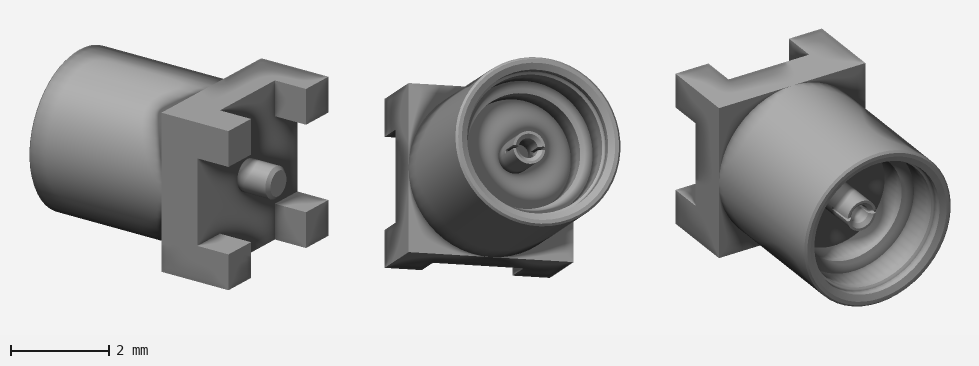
import cadquery as cq

length = 5.0
block_size = 3.51
block_start = 3.325
barrel_radius = block_size / 2
axis_plane = "YZ"

rim_chamfer = 0.045
rim_inner_radius = 1.63
entry_radius = 1.5
entry_cone_end = 0.065
entry_end = 0.235
socket_radius = 1.44
socket_cone_start = 0.285
socket_end = 0.955
seat_radius = 1.2
seat_start = 1.04
seat_end = 1.695

leg_length = 0.775
leg_width = 0.79
floor_x = length - leg_length

pin_radius = 0.355
pin_chamfer = 0.075

contact_start = 0.65
contact_radius = 0.34
contact_mouth_radius = 0.285
contact_bore_radius = 0.205
contact_flare_depth = 0.08
contact_bore_depth = 0.75
contact_slot_width = 0.065
contact_slot_depth = 0.6


def revolve_about_x(points):
    """Revolve a closed (X, radius) outline about the connector axis."""
    profile = cq.Workplane("XY").polyline(points).close()
    return profile.revolve(360, (0, 0, 0), (1, 0, 0))


def make_barrel():
    return revolve_about_x([
        (0, 0),
        (0, barrel_radius - rim_chamfer),
        (rim_chamfer, barrel_radius),
        (block_start, barrel_radius),
        (block_start, 0),
    ])


def make_block():
    """Square block with two crossing channels that leave four corner legs."""
    block = cq.Workplane(axis_plane, origin=(block_start, 0, 0))
    block = block.rect(block_size, block_size).extrude(length - block_start)
    gap = block_size - 2 * leg_width
    channels = cq.Workplane(axis_plane, origin=(floor_x, 0, 0))
    for width, height in ((gap, block_size), (block_size, gap)):
        block = block.cut(channels.rect(width, height).extrude(leg_length))
    return block


def make_socket():
    return revolve_about_x([
        (0, 0),
        (0, rim_inner_radius),
        (entry_cone_end, entry_radius),
        (entry_end, entry_radius),
        (socket_cone_start, socket_radius),
        (socket_end, socket_radius),
        (seat_start, seat_radius),
        (seat_end, seat_radius),
        (seat_end, 0),
    ])


def make_contact():
    contact = revolve_about_x([
        (contact_start, contact_mouth_radius),
        (contact_start, contact_radius),
        (seat_end, contact_radius),
        (seat_end, 0),
        (contact_start + contact_bore_depth, 0),
        (contact_start + contact_bore_depth, contact_bore_radius),
        (contact_start + contact_flare_depth, contact_bore_radius),
    ])
    slot = cq.Workplane(axis_plane, origin=(contact_start, 0, 0))
    slot = slot.rect(2 * contact_radius, contact_slot_width).extrude(contact_slot_depth)
    return contact.cut(slot)


def make_rear_pin():
    pin = cq.Workplane(axis_plane, origin=(floor_x, 0, 0)).circle(pin_radius).extrude(leg_length)
    return pin.faces(">X").chamfer(pin_chamfer)


body = make_barrel().union(make_block()).cut(make_socket())
result = body.union(make_contact()).union(make_rear_pin())